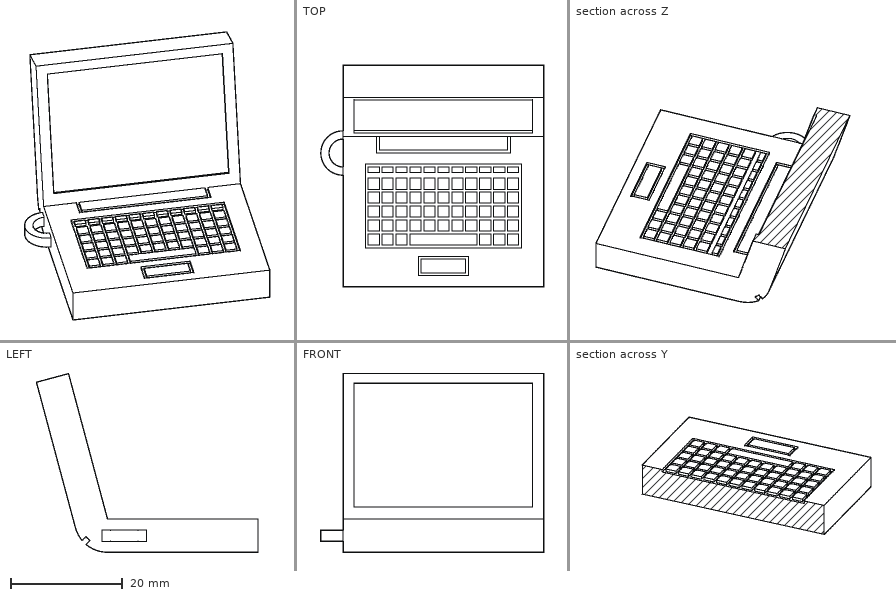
import cadquery as cq
import math

body_width = 36.0
thickness = 6.0
base_depth = 27.0
lid_height = 27.0
lid_lean = 15.0

hinge_groove_width = 1.0
hinge_groove_depth = 1.0
hinge_groove_angle = -45.0

keyboard_width = 28.0
keyboard_front = 7.0
key_size = 2.0
key_columns = 11
key_rows = 5
function_key_depth = 1.0
space_bar_first_column = 3
space_bar_columns = 5
key_gap = (keyboard_width - key_columns * key_size) / (key_columns + 1)
key_pitch = key_size + key_gap
function_row_offset = key_gap + key_rows * key_pitch + key_gap
keyboard_depth = function_row_offset + function_key_depth + key_gap

recess_depth = key_gap

trackpad_width = 8.0
trackpad_depth = 2.5
trackpad_groove_front = 2.0
panel_groove_width = 24.0
panel_groove_front = 24.0

screen_width = 32.0
screen_height = 23.0
screen_bottom = 2.25

loop_outer_radius = 4.0
loop_wall = 1.5
loop_height = 2.0
loop_center_y = 24.0
loop_bottom = (thickness - loop_height) / 2

middle_x = body_width / 2


def box_at(x, y, z, width, depth, height):
    """Box with its lowest corner at (x, y, z)."""
    return cq.Workplane("XY").box(width, depth, height, centered=False).translate((x, y, z))


def from_hinge(radius, angle):
    """Point (y, z) at a polar position about the hinge line."""
    turn = math.radians(angle)
    return base_depth + radius * math.cos(turn), thickness + radius * math.sin(turn)


def make_body():
    """Base and lid in one bent profile, rounded about the hinge line at the back."""
    lid_up = 90 - lid_lean
    back_reach = math.hypot(lid_height, thickness)
    back_angle = lid_up - math.degrees(math.atan2(thickness, lid_height))
    arc_end = -lid_lean
    arc_middle = (-90 + arc_end) / 2
    return (
        cq.Workplane("YZ")
        .moveTo(0, 0)
        .lineTo(base_depth, 0)
        .threePointArc(from_hinge(thickness, arc_middle), from_hinge(thickness, arc_end))
        .lineTo(*from_hinge(back_reach, back_angle))
        .lineTo(*from_hinge(lid_height, lid_up))
        .lineTo(base_depth, thickness)
        .lineTo(0, thickness)
        .close()
        .extrude(body_width)
    )


def make_hinge_groove():
    """Square groove cut into the rounded back, over the full width."""
    groove = box_at(0, thickness - hinge_groove_depth, -hinge_groove_width / 2,
                    body_width, 2 * hinge_groove_depth, hinge_groove_width)
    return (
        groove
        .rotate((0, 0, 0), (1, 0, 0), hinge_groove_angle)
        .translate((0, base_depth, thickness))
    )


def make_screen_recess():
    """Shallow rectangular recess in the inner face of the lid."""
    recess = box_at(middle_x - screen_width / 2, 0, screen_bottom,
                    screen_width, recess_depth, screen_height)
    return (
        recess
        .rotate((0, 0, 0), (1, 0, 0), -lid_lean)
        .translate((0, base_depth, thickness))
    )


def base_block(x, y, width, depth):
    """Block filling a rectangle of the base top, down to the recess floor."""
    return box_at(x, y, thickness - recess_depth, width, depth, recess_depth)


def make_keyboard_recess():
    """Keyboard well with the keys left standing flush with the base top."""
    left = middle_x - keyboard_width / 2
    recess = base_block(left, keyboard_front, keyboard_width, keyboard_depth)
    space_bar_end = space_bar_first_column + space_bar_columns

    for column in range(key_columns):
        key_x = left + key_gap + column * key_pitch
        for row in range(key_rows):
            under_space_bar = row == 0 and space_bar_first_column <= column < space_bar_end
            if not under_space_bar:
                key_y = keyboard_front + key_gap + row * key_pitch
                recess = recess.cut(base_block(key_x, key_y, key_size, key_size))
        function_y = keyboard_front + function_row_offset
        recess = recess.cut(base_block(key_x, function_y, key_size, function_key_depth))

    space_bar_x = left + key_gap + space_bar_first_column * key_pitch
    space_bar_width = space_bar_columns * key_pitch - key_gap
    return recess.cut(base_block(space_bar_x, keyboard_front + key_gap, space_bar_width, key_size))


def make_trackpad_groove():
    """Groove all round the trackpad."""
    outer_width = trackpad_width + 2 * key_gap
    outer_depth = trackpad_depth + 2 * key_gap
    outer = base_block(middle_x - outer_width / 2, trackpad_groove_front, outer_width, outer_depth)
    pad = base_block(middle_x - trackpad_width / 2, trackpad_groove_front + key_gap,
                     trackpad_width, trackpad_depth)
    return outer.cut(pad)


def make_panel_groove():
    """U-shaped groove round the panel behind the keyboard, its open end at the lid."""
    outer_depth = base_depth - panel_groove_front
    panel_width = panel_groove_width - 2 * key_gap
    outer = base_block(middle_x - panel_groove_width / 2, panel_groove_front,
                       panel_groove_width, outer_depth)
    panel = base_block(middle_x - panel_width / 2, panel_groove_front + key_gap,
                       panel_width, outer_depth - key_gap)
    return outer.cut(panel)


def make_loop():
    """Half ring standing out from the left side of the base."""
    ring = (
        cq.Workplane("XY", origin=(0, loop_center_y, loop_bottom))
        .circle(loop_outer_radius)
        .circle(loop_outer_radius - loop_wall)
        .extrude(loop_height)
    )
    left_of_body = box_at(-loop_outer_radius, loop_center_y - loop_outer_radius, loop_bottom,
                          loop_outer_radius, 2 * loop_outer_radius, loop_height)
    return ring.intersect(left_of_body)


result = (
    make_body()
    .cut(make_hinge_groove())
    .cut(make_screen_recess())
    .cut(make_keyboard_recess())
    .cut(make_trackpad_groove())
    .cut(make_panel_groove())
    .union(make_loop())
)